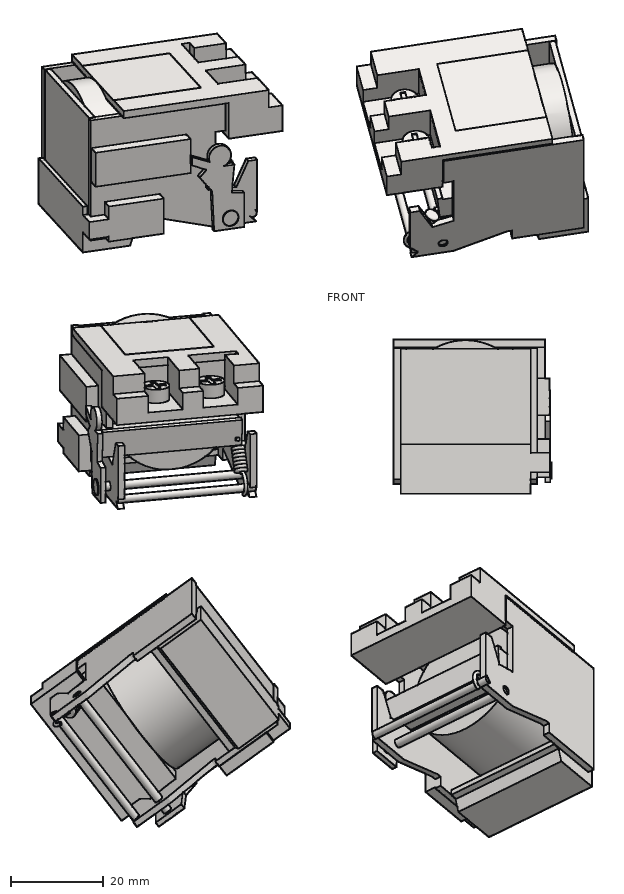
import cadquery as cq
import math

plate_left_thickness = 1.52
right_plate_x = 29.7
right_plate_thickness = 1.45
frame_front_y = 1.3
frame_top_z = 31.57
frame_rear_y = 32.35
frame_lip_z = 24.6
plate_bottom_z = 3.25
plate_step_y = 17.18
plate_step_z = 5.8
rod_slot_length = 4.5
leg_bottom_z = 2.1
leg_rear_y = 39.65
leg_top_z = 16.65
gap_front_y = 30.05
panel_front_y = 1.52
panel_thickness = 1.35
panel_top_z = 31.45
right_plate_outer_x = right_plate_x + right_plate_thickness

cover_width = 32.85
cover_front_y = 8.25
cover_rear_y = 44.85
cover_top_z = 33.45
cover_gap = 0.2
cover_bottom_z = frame_top_z + cover_gap
block_front_y = frame_rear_y + cover_gap
gap_fill_inset = 0.22
block_bottom_z = 23.3
ledge_y = 41.7
ledge_z = 29.38
slot_width = 7.75
slot_starts_x = (5.7, 18.05)
slot_floor_z = 25.55
wire_notch_x = 2.75
wire_notch_rear_y = 34.35
label_x = 6.55
label_width = 19.9
label_rear_y = 28.35
label_depth = 0.1

screw_offset_x = 3.8
screw_y = 36.4
screw_radius = 3.0
screw_top_z = 28.65
cross_length = 4.5
cross_width = 1.08
cross_depth = 0.35

drum_radius = 13.8
drum_x = 15.6
drum_top_z = 33.3
drum_rear_y = 26.9

foot_top_z = 10.8
foot_rear_y = 13.4
foot_lip_thickness = 1.05
foot_web_top_z = 4.5
ear_bottom_z = 4.75
ear_height = 4.13

rail_outer_x = 33.8
upper_rail_front_y = 1.45
upper_rail_rear_y = 23.3
upper_rail_bottom_z = 17.0
upper_rail_height = 8.05
lower_rail_front_y = 4.5
lower_rail_bottom_z = 3.6
lower_rail_height = 8.3

lever_outer_x = 34.0
lever_head_y = 30.05
lever_head_z = 19.95
lever_head_radius = 2.55
armature_front_y = 27.8
armature_rear_y = 33.35
armature_foot_y = 32.85
armature_bottom_z = 11.95
armature_top_z = 17.6
lip_front_y = 32.25
lip_top_z = 18.05
lip_rear_z = 17.85
lever_bottom_z = 2.5
lever_rear_y = 35.65
lever_tip_y = 23.65

pivot_y = 32.43
pivot_z = 5.1
pivot_radius = 1.0
pivot_recess = 0.45
pivot_head_radius = 1.8
part_width = 34.2

rod_y = 38.65
rod_z = 4.13
rod_radius = 0.9
rod_recess = 0.15
spring_x = 2.6
loop_y = 37.8
loop_z = 4.95
loop_radius = 2.4
bend_start = -66
bend_sweep = 190
coil_radius = 1.2
wire_radius = 0.4
coil_count = 7
coil_pitch = 2 * wire_radius
coil_start = loop_radius
spring_rise = math.radians(63)
hook_y = 32.75
hook_z = 13.35
hook_length = 1.08
hook_slope = 0.3


def box(x0, x1, y0, y1, z0, z1):
    """Box between the given limits."""
    return cq.Workplane("XY").box(x1 - x0, y1 - y0, z1 - z0, centered=False).translate((x0, y0, z0))


def side_profile(points, x0, x1):
    """Extrude a closed (y, z) outline from x0 to x1."""
    return cq.Workplane("YZ", origin=(x0, 0, 0)).polyline(points).close().extrude(x1 - x0)


def side_cylinder(y, z, radius, x0, x1):
    """Cylinder along X from x0 to x1."""
    return cq.Workplane("YZ", origin=(x0, y, z)).circle(radius).extrude(x1 - x0)


def side_plate(x0, x1):
    """Side plate with a hooked rear leg, a pivot hole and an open rod slot."""
    outline = [
        (frame_front_y, plate_bottom_z),
        (frame_front_y, frame_top_z),
        (frame_rear_y, frame_top_z),
        (frame_rear_y, frame_lip_z),
        (gap_front_y, frame_lip_z),
        (gap_front_y, 11.85),
        (34.8, 10.8),
        (37.6, leg_top_z),
        (leg_rear_y, leg_top_z),
        (leg_rear_y, leg_bottom_z),
        (30.15, leg_bottom_z),
        (18.25, plate_step_z),
        (plate_step_y, plate_step_z),
        (plate_step_y, plate_bottom_z),
    ]
    slot = box(x0, x1, 0, rod_slot_length, -rod_radius, rod_radius)
    slot = slot.rotate((0, 0, 0), (1, 0, 0), -45).translate((0, rod_y, rod_z))
    pivot_hole = side_cylinder(pivot_y, pivot_z, pivot_radius, x0, x1)
    return side_profile(outline, x0, x1).cut(slot).cut(pivot_hole)


def frame():
    panel = box(plate_left_thickness, right_plate_x, panel_front_y, panel_front_y + panel_thickness,
                plate_bottom_z, panel_top_z)
    left = side_plate(0, plate_left_thickness)
    right = side_plate(right_plate_x, right_plate_outer_x)
    return panel.union(left).union(right)


def cover():
    """Top plate with a rear terminal block, two open slots and a shallow label recess."""
    outline = [
        (cover_front_y, cover_bottom_z),
        (cover_front_y, cover_top_z),
        (ledge_y, cover_top_z),
        (ledge_y, ledge_z),
        (cover_rear_y, ledge_z),
        (cover_rear_y, block_bottom_z),
        (block_front_y, block_bottom_z),
        (block_front_y, cover_bottom_z),
    ]
    body = side_profile(outline, 0, cover_width)
    for x in slot_starts_x:
        body = body.cut(box(x, x + slot_width, block_front_y, cover_rear_y, slot_floor_z, cover_top_z))
    body = body.cut(box(wire_notch_x, slot_starts_x[0], block_front_y, wire_notch_rear_y,
                        slot_floor_z, cover_top_z))
    return body.cut(box(label_x, label_x + label_width, cover_front_y, label_rear_y,
                        cover_top_z - label_depth, cover_top_z))


def gap_fill():
    """Inset layer that seats the cover on the frame and leaves a fine groove around the joint."""
    x0 = gap_fill_inset
    x1 = right_plate_outer_x - gap_fill_inset
    under_cover = box(x0, x1, cover_front_y + gap_fill_inset, frame_rear_y, frame_top_z, cover_bottom_z)
    at_block = box(x0, x1, frame_rear_y, block_front_y, frame_lip_z + gap_fill_inset, cover_bottom_z)
    return under_cover.union(at_block)


def screw(x):
    """Terminal screw head with a cross recess."""
    head = cq.Workplane("XY", origin=(x, screw_y, slot_floor_z)).circle(screw_radius)
    head = head.extrude(screw_top_z - slot_floor_z)
    top = cq.Workplane("XY", origin=(x, screw_y, screw_top_z))
    along_x = top.rect(cross_length, cross_width).extrude(-cross_depth)
    along_y = top.rect(cross_width, cross_length).extrude(-cross_depth)
    return head.cut(along_x).cut(along_y)


def drum():
    start = cq.Workplane("XZ", origin=(drum_x, drum_rear_y, drum_top_z - drum_radius))
    return start.circle(drum_radius).extrude(drum_rear_y - panel_front_y - panel_thickness)


def foot():
    """Angled foot clipped around the lower front edge, with an ear on the right."""
    outline = [
        (0, 0),
        (0, foot_top_z),
        (foot_lip_thickness, foot_top_z),
        (foot_lip_thickness, 8.75),
        (panel_front_y, 5.4),
        (panel_front_y, foot_web_top_z),
        (foot_rear_y, foot_web_top_z),
        (foot_rear_y, 3.15),
        (11.85, 2.95),
        (10.9, 0),
    ]
    ear = box(right_plate_x, rail_outer_x, 0, lower_rail_front_y, ear_bottom_z, ear_bottom_z + ear_height)
    return side_profile(outline, plate_left_thickness, right_plate_x).union(ear)


def rails():
    """Two straight rails on the outside of the right plate."""
    upper = box(right_plate_outer_x, rail_outer_x, upper_rail_front_y, upper_rail_rear_y,
                upper_rail_bottom_z, upper_rail_bottom_z + upper_rail_height)
    lower = box(right_plate_outer_x, rail_outer_x, lower_rail_front_y, plate_step_y,
                lower_rail_bottom_z, lower_rail_bottom_z + lower_rail_height)
    return upper.union(lower)


def armature():
    """Bar across the frame, ending in a round-headed lever on the right."""
    bar = side_profile(
        [
            (armature_front_y, armature_bottom_z),
            (armature_front_y, armature_top_z),
            (lip_front_y, armature_top_z),
            (lip_front_y, lip_top_z),
            (armature_rear_y, lip_rear_z),
            (armature_foot_y, armature_bottom_z),
        ],
        plate_left_thickness,
        cover_width,
    )
    lever_outline = [
        (lever_head_y, armature_top_z),
        (lever_head_y, lever_head_z),
        (28.08, 18.85),
        (lever_tip_y, 20.75),
        (lever_tip_y, 18.85),
        (26.9, 17.25),
        (25.35, 15.7),
        (28.25, armature_bottom_z),
        (28.7, lever_bottom_z),
        (lever_rear_y, lever_bottom_z),
        (lever_rear_y, 10.55),
        (armature_foot_y, 11.05),
        (armature_foot_y, armature_bottom_z),
        (armature_rear_y, armature_top_z),
    ]
    lever = side_profile(lever_outline, cover_width, lever_outer_x)
    head = side_cylinder(lever_head_y, lever_head_z, lever_head_radius, cover_width, lever_outer_x)
    return bar.union(lever).union(head)


def pivot_pin():
    shank = side_cylinder(pivot_y, pivot_z, pivot_radius, pivot_recess, part_width)
    head = side_cylinder(pivot_y, pivot_z, pivot_head_radius, cover_width, part_width)
    return shank.union(head)


def anchor_rod():
    return side_cylinder(rod_y, rod_z, rod_radius, rod_recess, right_plate_outer_x)


def spring_end():
    """Open wire bend that hooks around the rear of the anchor rod and meets the first coil."""
    section = cq.Workplane("XY", origin=(spring_x, loop_y + loop_radius, loop_z)).circle(wire_radius)
    bend = section.revolve(bend_sweep, (0, -loop_radius), (1, -loop_radius))
    return bend.rotate((0, loop_y, loop_z), (1, loop_y, loop_z), bend_start)


def spring_coils():
    """Closely wound coils as a ribbed shaft leaning from the bend up to the armature."""
    plane = cq.Plane(
        origin=(spring_x, loop_y, loop_z),
        xDir=(1, 0, 0),
        normal=(0, -math.sin(spring_rise), -math.cos(spring_rise)),
    )
    profile = cq.Workplane(plane).moveTo(0, coil_start).lineTo(coil_radius, coil_start)
    for turn in range(coil_count):
        base = coil_start + turn * coil_pitch
        crest = (coil_radius + wire_radius, base + wire_radius)
        profile = profile.threePointArc(crest, (coil_radius, base + coil_pitch))
    profile = profile.lineTo(0, coil_start + coil_count * coil_pitch).close()
    return profile.revolve(360, (0, 0), (0, 1))


def spring_hook():
    """Short wire stub on the rear of the armature."""
    plane = cq.Plane(origin=(spring_x, hook_y, hook_z), xDir=(1, 0, 0), normal=(0, 1, hook_slope))
    return cq.Workplane(plane).circle(wire_radius).extrude(hook_length)


result = frame().union(gap_fill()).union(cover())
for slot_x in slot_starts_x:
    result = result.union(screw(slot_x + screw_offset_x))
for feature in (drum(), foot(), rails(), armature(), pivot_pin(), anchor_rod()):
    result = result.union(feature)
for feature in (spring_end(), spring_coils(), spring_hook()):
    result = result.union(feature)